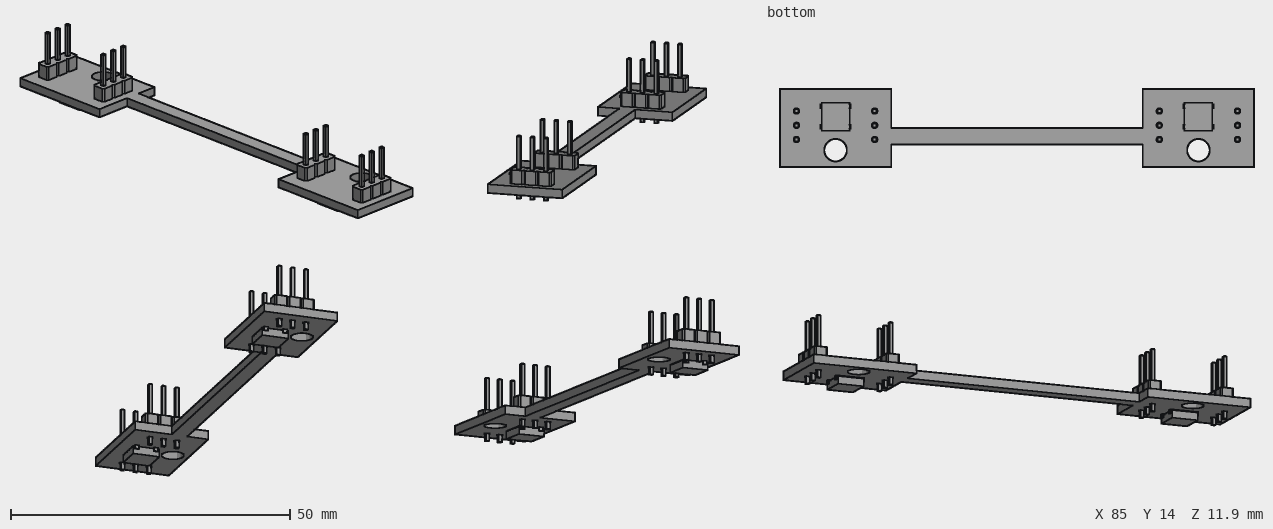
import cadquery as cq

board_length = 85.0
panel_length = 20.0
panel_width = 14.0
board_thickness = 1.6
bridge_bottom_y = 0.0
bridge_width = 3.0
mount_hole_diameter = 4.0
mount_hole_y = 4.0
panel_center_x = (board_length - panel_length) / 2
panel_centers_x = [-panel_center_x, panel_center_x]

pin_count = 3
pin_pitch = 2.55
pin_size = 0.64
pin_tip_chamfer = 0.2
pin_top_z = 10.3
pin_tail_length = 1.3
pin_hole_diameter = 1.0
header_width = 2.55
header_height = 2.55
header_corner_chamfer = 0.3
header_center_y = -0.47
header_spacing_x = 14.0
header_centers_x = [
    panel_x + side * header_spacing_x / 2
    for panel_x in panel_centers_x
    for side in (-1, 1)
]
pin_offsets_y = [(i - (pin_count - 1) / 2) * pin_pitch for i in range(pin_count)]

led_size = 5.0
led_height = 1.6
led_standoff = 0.2
led_center_y = -2.0
lead_span = 5.4
lead_width = 0.8
lead_height = 0.7
lead_spacing = 3.65


def box_on(x, y, bottom_z, size_x, size_y, height):
    """Box centred on (x, y) with its bottom face at bottom_z."""
    return (
        cq.Workplane("XY", origin=(x, y, bottom_z))
        .rect(size_x, size_y)
        .extrude(height)
    )


def make_board():
    bridge_center_y = bridge_bottom_y + bridge_width / 2
    board = box_on(0, bridge_center_y, 0, 2 * panel_center_x, bridge_width, board_thickness)
    for panel_x in panel_centers_x:
        board = board.union(box_on(panel_x, 0, 0, panel_length, panel_width, board_thickness))

    mount_points = [(panel_x, mount_hole_y) for panel_x in panel_centers_x]
    pin_points = [(x, header_center_y + offset) for x in header_centers_x for offset in pin_offsets_y]
    for points, diameter in ((mount_points, mount_hole_diameter), (pin_points, pin_hole_diameter)):
        holes = cq.Workplane("XY").pushPoints(points).circle(diameter / 2).extrude(board_thickness)
        board = board.cut(holes)
    return board


def make_header(center_x):
    """Insulator of chamfered cells, one around each pin, with the pins fixed in it."""
    pin_length = pin_top_z + pin_tail_length
    header = cq.Workplane("XY")
    for offset in pin_offsets_y:
        pin_y = header_center_y + offset
        cell = box_on(center_x, pin_y, board_thickness, header_width, pin_pitch, header_height)
        cell = cell.edges("|Z").chamfer(header_corner_chamfer)
        pin = box_on(center_x, pin_y, -pin_tail_length, pin_size, pin_size, pin_length)
        pin = pin.faces(">Z").chamfer(pin_tip_chamfer)
        header = header.union(cell).union(pin)
    return header


def make_led(center_x):
    body_height = led_height - led_standoff
    led = box_on(center_x, led_center_y, -led_height, led_size, led_size, body_height)
    for side in (-1, 1):
        lead_y = led_center_y + side * lead_spacing / 2
        led = led.union(box_on(center_x, lead_y, -lead_height, lead_span, lead_width, lead_height))
    return led


board = make_board()
headers = [make_header(x) for x in header_centers_x]
leds = [make_led(x) for x in panel_centers_x]

result = cq.Compound.makeCompound([
    board.val(),
    *[header.val() for header in headers],
    *[led.val() for led in leds],
])